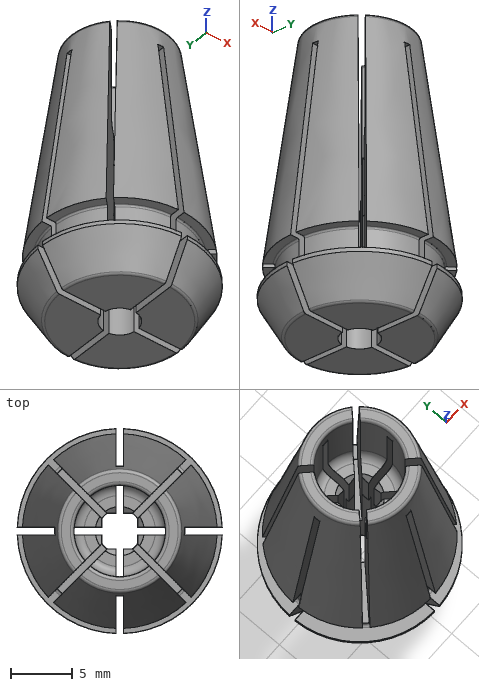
import cadquery as cq
import math

height = 27.5
flange_diameter = 16.8
flange_radius = flange_diameter / 2

nose_half_angle = 30.0
flange_bottom_z = 3.6
flange_top_z = 4.0
nose_bottom_radius = flange_radius - flange_bottom_z * math.tan(math.radians(nose_half_angle))

neck_radius = 6.95
groove_top_z = 6.65
groove_bottom_fillet = 0.25
groove_top_fillet = 0.16

taper_half_angle = 8.0
taper_base_radius = 7.98
taper_top_radius = taper_base_radius - (height - groove_top_z) * math.tan(math.radians(taper_half_angle))

end_fillet = 0.3

shank_radius = 1.8
shank_depth = 12.38
drive_width = 2.92
drive_top_z = 17.88
drive_lead_radius = 2.0
bore_radius = 3.75
bore_floor_fillet = 0.82

slot_width = 0.6
nose_slot_top_z = 25.5
back_slot_floor_z = 4.5


def outer_body():
    """Turned collet body, with rounded groove corners and rounded end edges."""
    outline = (
        cq.Workplane("XZ")
        .polyline(
            [
                (0, 0),
                (nose_bottom_radius, 0),
                (flange_radius, flange_bottom_z),
                (flange_radius, flange_top_z),
                (neck_radius, flange_top_z),
                (neck_radius, groove_top_z),
                (taper_base_radius, groove_top_z),
                (taper_top_radius, height),
                (0, height),
            ]
        )
        .close()
    )
    body = outline.revolve(360, (0, 0, 0), (0, 1, 0))
    body = body.faces("<Z or >Z").edges().fillet(end_fillet)
    body = body.edges(groove_corner(flange_top_z)).fillet(groove_bottom_fillet)
    return body.edges(groove_corner(groove_top_z)).fillet(groove_top_fillet)


def groove_corner(z):
    """Selector for the circular corner of the groove floor at height z."""
    margin = 0.03
    reach = neck_radius + margin
    low_corner = (-reach, -reach, z - margin)
    high_corner = (reach, reach, z + margin)
    return cq.selectors.BoxSelector(low_corner, high_corner, boundingbox=True)


def shank_hole():
    """Round hole that grips the tool shank, open at the nose."""
    return cq.Workplane("XY").circle(shank_radius).extrude(shank_depth)


def back_bore():
    """Wide bore from the small end: rounded mouth, rounded floor corner and 45 degree drive lead-in."""
    mouth_radius = bore_radius + end_fillet
    floor_radius = bore_radius - bore_floor_fillet
    diagonal = math.sqrt(0.5)
    return (
        cq.Workplane("XZ")
        .moveTo(0, drive_top_z - drive_lead_radius)
        .lineTo(drive_lead_radius, drive_top_z)
        .lineTo(floor_radius, drive_top_z)
        .threePointArc(
            (
                floor_radius + bore_floor_fillet * diagonal,
                drive_top_z + bore_floor_fillet * (1 - diagonal),
            ),
            (bore_radius, drive_top_z + bore_floor_fillet),
        )
        .lineTo(bore_radius, height - end_fillet)
        .threePointArc(
            (mouth_radius - end_fillet * diagonal, height - end_fillet * (1 - diagonal)),
            (mouth_radius, height),
        )
        .lineTo(0, height)
        .close()
        .revolve(360, (0, 0, 0), (0, 1, 0))
    )


def square_drive():
    """Square socket between the shank hole and the back bore."""
    return (
        cq.Workplane("XY")
        .workplane(offset=shank_depth)
        .rect(drive_width, drive_width)
        .extrude(drive_top_z - shank_depth)
    )


def crossed_slots(bottom_z, top_z, first_angle):
    """Two slots at right angles through the full width of the collet."""
    length = 2 * flange_diameter
    slot = cq.Workplane("XY").workplane(offset=bottom_z).rect(length, slot_width).extrude(top_z - bottom_z)
    slots = slot.union(slot.rotate((0, 0, 0), (0, 0, 1), 90))
    return slots.rotate((0, 0, 0), (0, 0, 1), first_angle)


result = (
    outer_body()
    .cut(shank_hole())
    .cut(square_drive())
    .cut(back_bore())
    .cut(crossed_slots(0, nose_slot_top_z, 0))
    .cut(crossed_slots(back_slot_floor_z, height, 45))
)